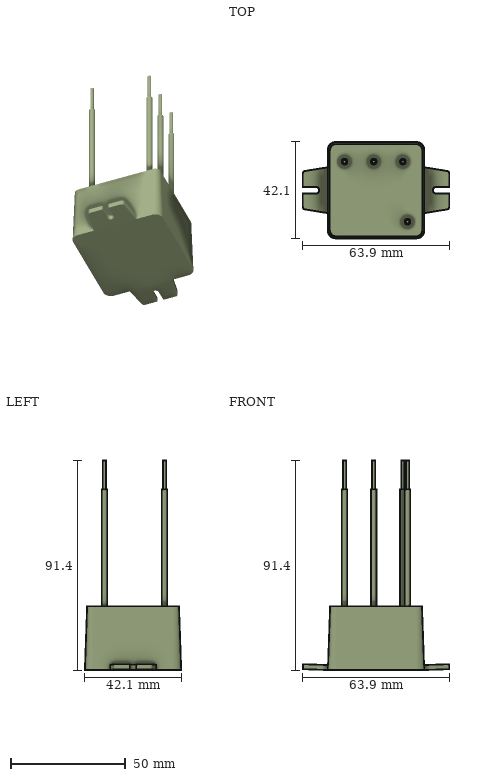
import cadquery as cq
import math

DRAFT_ANGLE = 2.0
BODY_HEIGHT = 27.94
TOP_WIDTH = 40.132
TOP_CORNER_RADIUS = 2.54
DRAFT_INSET = BODY_HEIGHT * math.tan(math.radians(DRAFT_ANGLE))
BASE_WIDTH = TOP_WIDTH + 2 * DRAFT_INSET
BASE_CORNER_RADIUS = TOP_CORNER_RADIUS + DRAFT_INSET

TAB_LENGTH = 10.922
TAB_THICKNESS = 2.286
TAB_ROOT_WIDTH = 20.066
TAB_TIP_WIDTH = 16.51
TAB_CORNER_RADIUS = 1.27
SLOT_WIDTH = 2.794
SLOT_DEPTH = 7.112

INSULATION_DIAMETER = 2.54
CORE_DIAMETER = 1.524
LEAD_LENGTH = 63.5
STRIPPED_LENGTH = 12.7
ROW_PITCH = 12.7
ROW_LEADS = 3
ROW_START_X = -13.716
ROW_Y = 12.446
SINGLE_LEAD = (13.716, -13.716)


def make_body():
    """Square block with rounded corners, narrowing upward."""
    base = cq.Sketch().rect(BASE_WIDTH, BASE_WIDTH).vertices().fillet(BASE_CORNER_RADIUS)
    return cq.Workplane("XY").placeSketch(base).extrude(BODY_HEIGHT, taper=DRAFT_ANGLE)


def make_right_tab():
    """Tapered tab with an open, round-ended slot, rising slightly toward its tip."""
    root_half = TAB_ROOT_WIDTH / 2
    tip_half = TAB_TIP_WIDTH / 2
    tab = (
        cq.Workplane("XY")
        .polyline([(0, -root_half), (TAB_LENGTH, -tip_half), (TAB_LENGTH, tip_half), (0, root_half)])
        .close()
        .extrude(TAB_THICKNESS)
        .edges("|Z and >X")
        .fillet(TAB_CORNER_RADIUS)
    )
    slot = (
        cq.Workplane("XY")
        .center(TAB_LENGTH, 0)
        .slot2D(2 * SLOT_DEPTH, SLOT_WIDTH)
        .extrude(TAB_THICKNESS)
    )
    tilted = tab.cut(slot).rotate((0, 0, 0), (0, 1, 0), -DRAFT_ANGLE)
    return tilted.translate((BASE_WIDTH / 2, 0, 0))


def make_lead(x, y):
    """Insulated wire with a stripped end."""
    insulation = (
        cq.Workplane("XY", origin=(x, y, BODY_HEIGHT))
        .circle(INSULATION_DIAMETER / 2)
        .extrude(LEAD_LENGTH - STRIPPED_LENGTH)
    )
    return insulation.faces(">Z").workplane().circle(CORE_DIAMETER / 2).extrude(STRIPPED_LENGTH)


right_tab = make_right_tab()
result = make_body().union(right_tab).union(right_tab.mirror("YZ"))

lead_positions = [(ROW_START_X + i * ROW_PITCH, ROW_Y) for i in range(ROW_LEADS)] + [SINGLE_LEAD]
for lead_x, lead_y in lead_positions:
    result = result.union(make_lead(lead_x, lead_y))